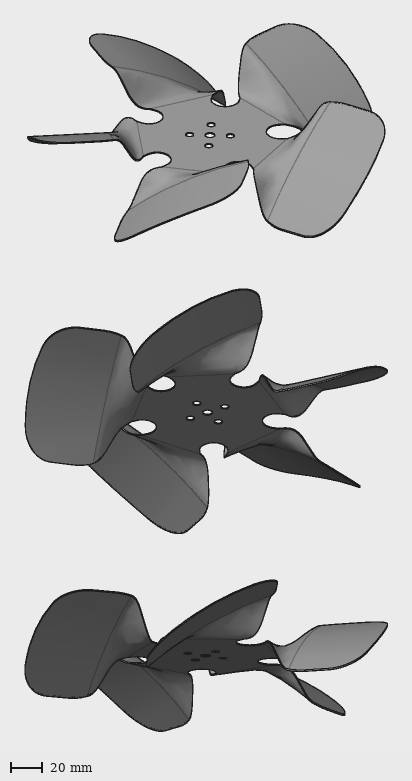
import math

import cadquery as cq

THICKNESS = 0.8
BLADE_COUNT = 5
BLADE_PITCH = 360 / BLADE_COUNT
TIP_RADIUS = 114.2

HUB_APOTHEM = 44.0
SLOT_RADIUS = 8.8
SLOT_CENTRE_RADIUS = 44.3
SHAFT_HOLE_DIAMETER = 6.0
BOLT_HOLE_DIAMETER = 5.0
BOLT_SPACING = 18.0

BLADE_HALF_WIDTH = 40.7
ROOT_CORNER_RADIUS = 36.0
TIP_CORNER_RADIUS = 21.0

TWIST_END = 64.6
BLADE_RISE = 49.02
BLADE_SAG = 4.8
SIDE_OVERLAP = 3.0
TIP_OVERLAP = 2.0
ROOT_OVERLAP = 2.0

WIDTH_STEPS = 24
TWIST_STEPS = 16
FIT_TOLERANCE = 0.001
SEAM_TOLERANCE = 0.01

chord = math.hypot(2 * BLADE_HALF_WIDTH, BLADE_RISE)
chord_angle = math.atan2(BLADE_RISE, 2 * BLADE_HALF_WIDTH)
arch_radius = (chord**2 / 4 + BLADE_SAG**2) / (2 * BLADE_SAG)
arch_drop = arch_radius - BLADE_SAG
arch_x = -arch_drop * math.sin(chord_angle)
arch_z = -arch_drop * math.cos(chord_angle)

hub_corner_radius = HUB_APOTHEM / math.cos(math.radians(BLADE_PITCH / 2))
cut_height = 2 * BLADE_RISE


def arch_height(x):
    """Mid-thickness height of the arched section at x."""
    return arch_z + math.sqrt(arch_radius**2 - (x - arch_x) ** 2)


def arch_slope(x):
    """Slope of the arched section at x."""
    return (arch_x - x) / (arch_height(x) - arch_z)


def arch_point(x, offset):
    """Point on the section at x, moved by offset along the arch normal."""
    angle = math.atan2(arch_height(x) - arch_z, x - arch_x)
    radius = arch_radius + offset
    return (arch_x + radius * math.cos(angle), arch_z + radius * math.sin(angle))


def make_hub():
    """Flat pentagon with its corner slots and mounting holes."""
    hub = (
        cq.Workplane("XY")
        .polygon(BLADE_COUNT, 2 * hub_corner_radius)
        .extrude(THICKNESS / 2, both=True)
        .rotate((0, 0, 0), (0, 0, 1), -90)
    )
    slot_end = SLOT_CENTRE_RADIUS + 2 * SLOT_RADIUS
    slot = (
        cq.Workplane("XY")
        .moveTo(-SLOT_RADIUS, -slot_end)
        .lineTo(-SLOT_RADIUS, -SLOT_CENTRE_RADIUS)
        .threePointArc((0, SLOT_RADIUS - SLOT_CENTRE_RADIUS), (SLOT_RADIUS, -SLOT_CENTRE_RADIUS))
        .lineTo(SLOT_RADIUS, -slot_end)
        .close()
        .extrude(THICKNESS, both=True)
    )
    for i in range(BLADE_COUNT):
        hub = hub.cut(slot.rotate((0, 0, 0), (0, 0, 1), i * BLADE_PITCH))
    top = hub.faces(">Z").workplane(origin=(0, 0, 0))
    hub = top.hole(SHAFT_HOLE_DIAMETER)
    top = hub.faces(">Z").workplane(origin=(0, 0, 0))
    return top.rect(BOLT_SPACING, BOLT_SPACING, forConstruction=True).vertices().hole(BOLT_HOLE_DIAMETER)


def make_outline():
    """Prism of the blade outline, used to trim the blade sheet."""
    half_pitch = math.radians(BLADE_PITCH / 2)
    root_x = HUB_APOTHEM * math.tan(half_pitch) - SLOT_RADIUS / math.cos(half_pitch)
    centre_x = BLADE_HALF_WIDTH - ROOT_CORNER_RADIUS
    centre_y = HUB_APOTHEM + math.sqrt(ROOT_CORNER_RADIUS**2 - (root_x - centre_x) ** 2)
    start = math.atan2(HUB_APOTHEM - centre_y, root_x - centre_x)
    mid_x = centre_x + ROOT_CORNER_RADIUS * math.cos(start / 2)
    mid_y = centre_y + ROOT_CORNER_RADIUS * math.sin(start / 2)
    tip_y = math.sqrt(TIP_RADIUS**2 - BLADE_HALF_WIDTH**2)
    prism = (
        cq.Workplane("XY")
        .moveTo(-root_x, HUB_APOTHEM)
        .lineTo(-root_x, HUB_APOTHEM - ROOT_OVERLAP)
        .lineTo(root_x, HUB_APOTHEM - ROOT_OVERLAP)
        .lineTo(root_x, HUB_APOTHEM)
        .threePointArc((mid_x, mid_y), (BLADE_HALF_WIDTH, centre_y))
        .lineTo(BLADE_HALF_WIDTH, tip_y)
        .threePointArc((0, TIP_RADIUS), (-BLADE_HALF_WIDTH, tip_y))
        .lineTo(-BLADE_HALF_WIDTH, centre_y)
        .threePointArc((-mid_x, mid_y), (-root_x, HUB_APOTHEM))
        .close()
        .extrude(cut_height / 2, both=True)
    )
    return prism.edges("|Z").edges(">Y").fillet(TIP_CORNER_RADIUS)


def make_twist():
    """Sheet that eases from the flat side of the hub into the arched section."""
    half_width = BLADE_HALF_WIDTH + SIDE_OVERLAP
    length = TWIST_END - HUB_APOTHEM
    grid = []
    for i in range(WIDTH_STEPS + 1):
        x = half_width * (2 * i / WIDTH_STEPS - 1)
        row = []
        for j in range(TWIST_STEPS + 1):
            t = j / TWIST_STEPS
            ease = t**3 * (10 - 15 * t + 6 * t**2)
            ease_slope = 30 * t**2 * (1 - t) ** 2 / length
            middle = cq.Vector(x, HUB_APOTHEM + t * length, ease * arch_height(x))
            normal = cq.Vector(-ease * arch_slope(x), -ease_slope * arch_height(x), 1).normalized()
            row.append(middle - normal * (THICKNESS / 2))
        grid.append(row)
    lower_face = cq.Face.makeSplineApprox(grid, tol=FIT_TOLERANCE, minDeg=3, maxDeg=6)
    return cq.Workplane(lower_face.thicken(THICKNESS))


def make_arched():
    """Sheet of constant arched section that forms the outer blade."""
    edge = BLADE_HALF_WIDTH + SIDE_OVERLAP
    half = THICKNESS / 2
    return (
        cq.Workplane("XZ", origin=(0, TWIST_END, 0))
        .moveTo(*arch_point(-edge, half))
        .threePointArc(arch_point(0, half), arch_point(edge, half))
        .lineTo(*arch_point(edge, -half))
        .threePointArc(arch_point(0, -half), arch_point(-edge, -half))
        .close()
        .extrude(TWIST_END - TIP_RADIUS - TIP_OVERLAP)
    )


blade = make_twist().union(make_arched(), tol=SEAM_TOLERANCE).intersect(make_outline())
result = make_hub()
for i in range(BLADE_COUNT):
    result = result.union(blade.rotate((0, 0, 0), (0, 0, 1), i * BLADE_PITCH), tol=SEAM_TOLERANCE)